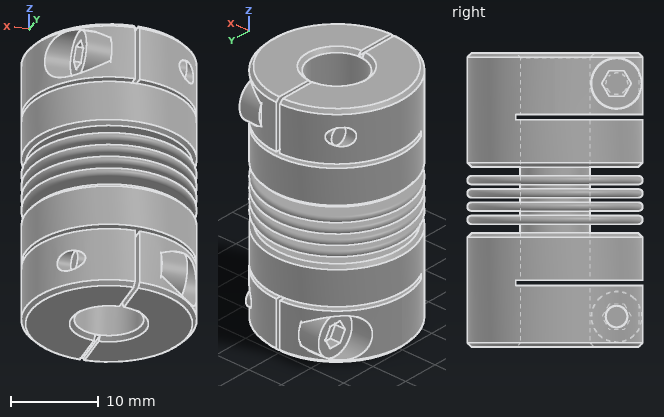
import cadquery as cq
import math

length = 33.5
outer_diameter = 20.0
outer_radius = outer_diameter / 2
bore_diameter = 7.9
edge_chamfer = 0.5
bore_chamfer = 0.55

hub_length = 13.0
tube_diameter = 8.0
disc_count = 4
disc_thickness = 1.0
disc_pitch = 1.5

slit_width = 0.57
clamp_length = 7.05
cross_slot_width = 0.57
web_front = -4.45
relief_depth = edge_chamfer

screw_y = 7.0
screw_end_distance = 3.5
screw_z = length / 2 - screw_end_distance
shank_diameter = 2.4
screw_hole_diameter = 2.5
head_diameter = 5.7
counterbore_diameter = 5.83
seat_x = 3.0
head_x = 6.05
shank_tip_x = -6.55
hex_flats = 2.9
hex_corners = hex_flats / math.cos(math.pi / 6)
hex_depth = 1.5


def x_cylinder(diameter, x_start, x_end):
    """Cylinder on the upper screw axis, between two X positions."""
    plane = cq.Workplane("YZ", origin=(x_start, screw_y, screw_z))
    return plane.circle(diameter / 2).extrude(x_end - x_start)


def half_turn(shape):
    """Turn about the Y axis, from the upper clamp to the lower one."""
    return shape.rotate((0, 0, 0), (0, 1, 0), 180)


def make_clamp_cuts():
    """All material removed from the upper hub to make it a clamp."""
    top = length / 2
    slit = cq.Workplane("XY").box(
        slit_width, outer_radius, clamp_length, centered=(True, False, False)
    ).translate((0, 0, top - clamp_length))
    relief = cq.Workplane("XY").box(
        slit_width, outer_radius, relief_depth, centered=(True, False, False)
    ).translate((0, -outer_radius, top - relief_depth))
    cross_slot = cq.Workplane("XY").box(
        outer_diameter, outer_radius - web_front, cross_slot_width, centered=(True, False, False)
    ).translate((0, web_front, top - clamp_length - cross_slot_width))
    screw_hole = x_cylinder(screw_hole_diameter, -outer_radius, outer_radius)
    counterbore = x_cylinder(counterbore_diameter, seat_x, outer_radius)
    return [slit, relief, cross_slot, screw_hole, counterbore]


def make_coupling():
    """Two clamp hubs joined by a thin tube with bellows discs."""
    body = cq.Workplane("XY").circle(tube_diameter / 2).extrude(length / 2, both=True)
    hub = (
        cq.Workplane("XY", origin=(0, 0, length / 2 - hub_length))
        .circle(outer_radius)
        .extrude(hub_length)
        .edges()
        .chamfer(edge_chamfer)
    )
    body = body.union(hub).union(half_turn(hub))

    rim_radius = disc_thickness / 2
    flat_radius = outer_radius - rim_radius
    disc = (
        cq.Workplane("XZ")
        .moveTo(0, -rim_radius)
        .lineTo(flat_radius, -rim_radius)
        .threePointArc((outer_radius, 0), (flat_radius, rim_radius))
        .lineTo(0, rim_radius)
        .close()
        .revolve(360, (0, 0, 0), (0, 1, 0))
    )
    for i in range(disc_count):
        disc_center = (i - (disc_count - 1) / 2) * disc_pitch
        body = body.union(disc.translate((0, 0, disc_center)))

    bore = cq.Workplane("XY").circle(bore_diameter / 2).extrude(length / 2, both=True)
    body = body.cut(bore)
    countersink = (
        cq.Workplane("XY", origin=(0, 0, length / 2 - bore_chamfer))
        .circle(bore_diameter / 2)
        .workplane(offset=bore_chamfer)
        .circle(bore_diameter / 2 + bore_chamfer)
        .loft(ruled=True)
    )
    for cutter in [countersink, *make_clamp_cuts()]:
        body = body.cut(cutter).cut(half_turn(cutter))
    return body


def make_screw():
    """Socket head screw of the upper clamp, with its head toward +X."""
    shank = x_cylinder(shank_diameter, shank_tip_x, seat_x)
    head = x_cylinder(head_diameter, seat_x, head_x)
    socket = (
        cq.Workplane("YZ", origin=(head_x - hex_depth, screw_y, screw_z))
        .polygon(6, hex_corners)
        .extrude(hex_depth)
    )
    return shank.union(head).cut(socket)


coupling = make_coupling()

screws = []
for angle in (0, 180):
    screw = make_screw().rotate((0, 0, 0), (0, 1, 0), angle)
    screws.append(screw.val())

result = cq.Compound.makeCompound([coupling.val(), *screws])